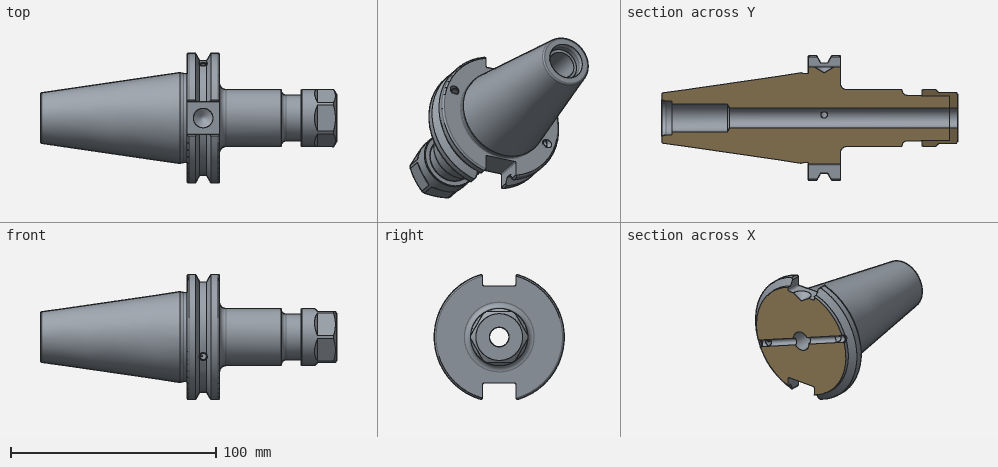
import cadquery as cq
import math


total_length = 144.45

taper_length = 67.9
gauge_dia = 44.45
taper_ratio = 7 / 24
small_end_dia = gauge_dia - taper_length * taper_ratio
small_end_fillet = 0.8
relief_dia = 43.6
relief_start = 69.7
relief_fillet = 0.25

flange_dia = 63.55
flange_start = 71.4
flange_width = 15.9
flange_end = flange_start + flange_width
rim_fillet = 0.9
groove_center = flange_start + 7.85
groove_dia = 56.25
groove_bottom_width = 3.4
groove_wall_angle = 30
groove_wall_run = (flange_dia - groove_dia) / 2 * math.tan(math.radians(groove_wall_angle))
groove_half_bottom = groove_bottom_width / 2
groove_half_top = groove_half_bottom + groove_wall_run

slot_width = 16.1
slot_edge_chamfer = 0.82
upper_slot_floor = 25.0
lower_slot_floor = 22.5
slot_floor_fillet = 0.5
dimple_dia = 9.53
drill_point_angle = 118

coolant_dia = 4.0
coolant_core_dia = 3.24
slanted_wide_depth = 1.6
radial_wide_depth = 0.5
coolant_lead = 3.0
coolant_angles = (20, 200)
coolant_entry_radius = 26.9
coolant_tilt = 30
coolant_meeting_radius = coolant_entry_radius - (groove_center - flange_start) * math.tan(
    math.radians(coolant_tilt)
)

body_dia = 28.0
body_end = 117.4
flange_fillet = 3.0
body_end_fillet = 0.5
neck_dia = 22.5
neck_fillet = 2.2
nose_dia = 22.0

bore_dia = 9.4
thread_dia = 13.39
pilot_dia = 16.3
mouth_dia = 17.7
mouth_depth = 2.1
pilot_depth = 5.0
thread_depth = 32.0

nut_dia = 28.0
nut_start = 126.95
nut_rear_chamfer = 0.4
nut_front_wall = 4.0
nose_end = total_length - nut_front_wall
hex_across_flats = 25.0
hex_start = 135.05
hex_run_out = (nut_dia - hex_across_flats) / 2
nut_front_dia = 22.8
nut_front_chamfer_length = 1.6

margin = 1.0


def revolve_about_x(profile):
    """Turn a closed (x, radius) profile about the X axis."""
    return profile.close().revolve(360, (0, 0, 0), (1, 0, 0))


def fillet_arc(profile, center, radius, start_angle, end_angle):
    """Run a profile to the start of an arc around a centre and along it, angles in degrees."""

    def point(angle):
        turn = math.radians(angle)
        return center[0] + radius * math.cos(turn), center[1] + radius * math.sin(turn)

    profile = profile.lineTo(*point(start_angle))
    return profile.threePointArc(point((start_angle + end_angle) / 2), point(end_angle))


def holder_blank():
    flange_radius = flange_dia / 2
    groove_radius = groove_dia / 2
    relief_radius = relief_dia / 2
    body_radius = body_dia / 2
    neck_radius = neck_dia / 2

    slope_angle = math.degrees(math.atan(taper_ratio / 2))
    cone_offset = small_end_fillet / math.cos(math.radians(slope_angle))
    cone_radius = small_end_dia / 2 + small_end_fillet * taper_ratio / 2
    profile = cq.Workplane("XY").moveTo(0, 0)
    center = (small_end_fillet, cone_radius - cone_offset)
    profile = fillet_arc(profile, center, small_end_fillet, 180, 90 + slope_angle)
    profile = profile.lineTo(taper_length, gauge_dia / 2).lineTo(relief_start, relief_radius)

    center = (flange_start - relief_fillet, relief_radius + relief_fillet)
    profile = fillet_arc(profile, center, relief_fillet, 270, 360)
    center = (flange_start + rim_fillet, flange_radius - rim_fillet)
    profile = fillet_arc(profile, center, rim_fillet, 180, 90)
    profile = (
        profile.lineTo(groove_center - groove_half_top, flange_radius)
        .lineTo(groove_center - groove_half_bottom, groove_radius)
        .lineTo(groove_center + groove_half_bottom, groove_radius)
        .lineTo(groove_center + groove_half_top, flange_radius)
    )
    center = (flange_end - rim_fillet, flange_radius - rim_fillet)
    profile = fillet_arc(profile, center, rim_fillet, 90, 0)

    center = (flange_end + flange_fillet, body_radius + flange_fillet)
    profile = fillet_arc(profile, center, flange_fillet, 180, 270)
    center = (body_end - body_end_fillet, body_radius - body_end_fillet)
    profile = fillet_arc(profile, center, body_end_fillet, 90, 0)
    center = (body_end + neck_fillet, neck_radius + neck_fillet)
    profile = fillet_arc(profile, center, neck_fillet, 180, 270)
    profile = (
        profile.lineTo(nut_start, neck_radius)
        .lineTo(nut_start, nose_dia / 2)
        .lineTo(nose_end, nose_dia / 2)
        .lineTo(nose_end, 0)
    )
    return revolve_about_x(profile)


def holder_bore():
    thread_tip = (thread_dia - bore_dia) / 2 / math.tan(math.radians(drill_point_angle / 2))
    return revolve_about_x(
        cq.Workplane("XY")
        .moveTo(0, 0)
        .lineTo(0, mouth_dia / 2)
        .lineTo(mouth_depth, pilot_dia / 2)
        .lineTo(pilot_depth, pilot_dia / 2)
        .lineTo(pilot_depth, thread_dia / 2)
        .lineTo(thread_depth, thread_dia / 2)
        .lineTo(thread_depth + thread_tip, bore_dia / 2)
        .lineTo(nose_end, bore_dia / 2)
        .lineTo(nose_end, 0)
    )


def drive_slot(floor, side):
    """Slot with chamfered rim edges, on the +Z (side 1) or -Z (side -1) of the flange."""
    half_width = slot_width / 2
    chamfer_outer = half_width + slot_edge_chamfer
    rim_height = math.sqrt((flange_dia / 2) ** 2 - chamfer_outer**2)
    chamfer_start = rim_height - slot_edge_chamfer
    top = flange_dia / 2 + margin
    outline = [
        (-half_width, floor),
        (half_width, floor),
        (half_width, chamfer_start),
        (chamfer_outer, rim_height),
        (chamfer_outer, top),
        (-chamfer_outer, top),
        (-chamfer_outer, rim_height),
        (-half_width, chamfer_start),
    ]
    slot = (
        cq.Workplane("YZ", origin=(flange_start, 0, 0))
        .polyline([(y, side * z) for y, z in outline])
        .close()
        .extrude(flange_width)
    )
    floor_face = ">Z" if side < 0 else "<Z"
    return slot.faces(floor_face).edges("|X").fillet(slot_floor_fillet)


def slot_dimple():
    """Conical drill mark in the floor of the upper slot."""
    radius = dimple_dia / 2
    depth = radius / math.tan(math.radians(drill_point_angle / 2))
    cone = cq.Solid.makeCone(
        radius, 0, depth, cq.Vector(groove_center, 0, upper_slot_floor), cq.Vector(0, 0, -1)
    )
    return cq.Workplane(cone)


def stepped_hole(mouth, direction, wide_depth, length):
    """Cutter for a hole at a mouth point: a wide stretch that starts outside, then a narrower core."""
    lead_start = mouth - direction * coolant_lead
    wide = cq.Solid.makeCylinder(
        coolant_dia / 2, coolant_lead + wide_depth, lead_start, direction
    )
    core = cq.Solid.makeCylinder(coolant_core_dia / 2, length, mouth, direction)
    return cq.Workplane(wide).union(cq.Workplane(core))


def coolant_passage(angle):
    turn = math.radians(angle)
    outward = cq.Vector(0, math.cos(turn), math.sin(turn))
    face_mouth = outward * coolant_entry_radius + cq.Vector(flange_start, 0, 0)
    groove_mouth = outward * (groove_dia / 2) + cq.Vector(groove_center, 0, 0)
    meeting = outward * coolant_meeting_radius + cq.Vector(groove_center, 0, 0)
    slant = meeting - face_mouth
    slanted = stepped_hole(face_mouth, slant.normalized(), slanted_wide_depth, slant.Length)
    radial = stepped_hole(groove_mouth, outward * -1, radial_wide_depth, groove_dia / 2)
    return slanted.union(radial)


def make_holder():
    holder = holder_blank().cut(holder_bore())
    holder = holder.cut(drive_slot(upper_slot_floor, 1))
    holder = holder.cut(drive_slot(lower_slot_floor, -1))
    holder = holder.cut(slot_dimple())
    for angle in coolant_angles:
        holder = holder.cut(coolant_passage(angle))
    return holder


def hex_flat_cutter():
    """Cuts the +Z flat of the hexagon, ending in a 45 degree run-out."""
    flat_height = hex_across_flats / 2
    return (
        cq.Workplane("XZ")
        .moveTo(hex_start, flat_height)
        .lineTo(total_length + margin, flat_height)
        .lineTo(total_length + margin, flat_height + hex_run_out + margin)
        .lineTo(hex_start - hex_run_out - margin, flat_height + hex_run_out + margin)
        .close()
        .extrude(nut_dia / 2, both=True)
    )


def make_nut():
    nut_radius = nut_dia / 2
    nut = revolve_about_x(
        cq.Workplane("XY")
        .moveTo(nut_start, nose_dia / 2)
        .lineTo(nut_start, nut_radius - nut_rear_chamfer)
        .lineTo(nut_start + nut_rear_chamfer, nut_radius)
        .lineTo(total_length - nut_front_chamfer_length, nut_radius)
        .lineTo(total_length, nut_front_dia / 2)
        .lineTo(total_length, bore_dia / 2)
        .lineTo(nose_end, bore_dia / 2)
        .lineTo(nose_end, nose_dia / 2)
    )
    cutter = hex_flat_cutter()
    for side in range(6):
        nut = nut.cut(cutter.rotate((0, 0, 0), (1, 0, 0), side * 60))
    return nut


holder = make_holder()
nut = make_nut()
result = cq.Compound.makeCompound([holder.solids().val(), nut.solids().val()])